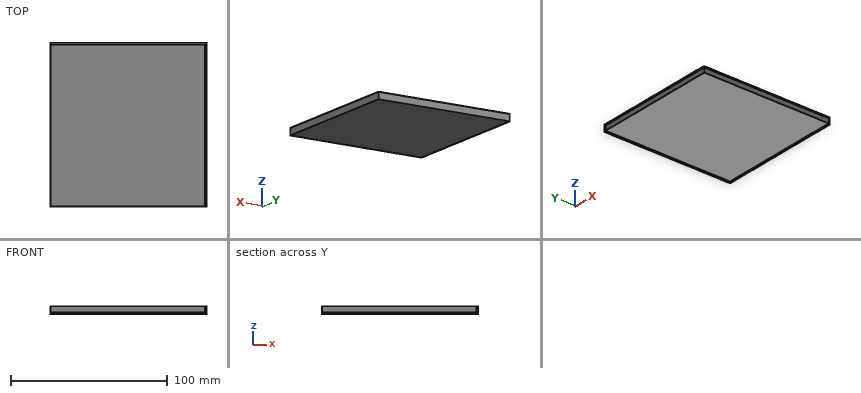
import cadquery as cq

width = 100.0
depth = 105.0
height = 5.0

thickness = 1.3

block = cq.Workplane("XY").box(width, depth, height, centered=(True, True, False))

open_space = (
    cq.Workplane("XY")
    .box(width - thickness, depth - thickness, height - thickness, centered=False)
    .translate((-width / 2, -depth / 2, thickness))
)

result = block.cut(open_space)